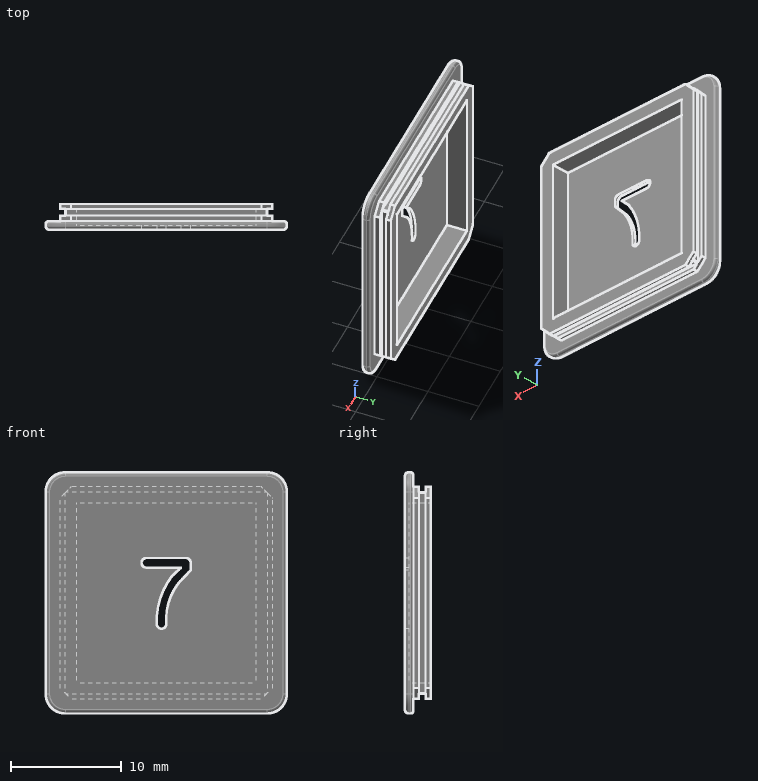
import cadquery as cq

plate_side = 21.85
plate_thickness = 0.79
plate_corner_radius = 1.8
front_edge_radius = 0.37
rear_edge_radius = 0.26

total_depth = 2.35
frame_side = 19.2
frame_corner_chamfer = 1.0
groove_depth = 0.45
front_rim_thickness = 0.5
rear_rim_thickness = 0.45
frame_wall = 1.0

web_thickness = 0.4

stroke_width = 0.85
numeral_left = -2.23
numeral_right = 2.2
numeral_top = 3.15
numeral_bottom = -3.23
stem_left = -0.85
right_edge_bottom = 2.05
inner_corner_x = 1.35
inner_arc_start = (0.5, 1.49)
inner_arc_middle = (-0.45, -0.28)
outer_arc_start = (1.1, 0.87)
outer_arc_middle = (0.17, -0.96)

stroke_radius = stroke_width / 2
core_side = frame_side - 2 * groove_depth
opening_side = core_side - 2 * frame_wall
front_rim_end = plate_thickness + front_rim_thickness
rear_rim_start = total_depth - rear_rim_thickness


def sketch_plane(y):
    """Plane facing -Y at depth y, with local axes along X and Z."""
    return cq.Workplane("XZ", origin=(0, y, 0))


def square_slab(side, y_start, y_end):
    """Centred square slab between two depths."""
    return sketch_plane(y_start).rect(side, side).extrude(y_start - y_end)


def face_plate():
    """Rounded square plate with softened front and rear edges."""
    plate = square_slab(plate_side, 0, plate_thickness)
    plate = plate.edges("|Y").fillet(plate_corner_radius)
    plate = plate.faces("<Y").edges().fillet(front_edge_radius)
    return plate.faces(">Y").edges().fillet(rear_edge_radius)


def grooved_frame():
    """Square block with chamfered corners and a groove around its sides."""
    block = square_slab(frame_side, plate_thickness, total_depth)
    block = block.edges("|Y").chamfer(frame_corner_chamfer)
    groove = square_slab(frame_side, front_rim_end, rear_rim_start)
    groove = groove.cut(square_slab(core_side, front_rim_end, rear_rim_start))
    return block.cut(groove)


def numeral_cutter():
    """Numeral 7 drawn as a round-ended stroke, cut through the web."""
    bar_bottom = numeral_top - stroke_width
    bar_middle = numeral_top - stroke_radius
    bar_start = numeral_left + stroke_radius
    stem_right = stem_left + stroke_width
    stem_middle = stem_left + stroke_radius
    stem_end = numeral_bottom + stroke_radius
    corner_x = numeral_right - stroke_radius
    corner_reach = stroke_radius * 0.5**0.5
    return (
        sketch_plane(0)
        .moveTo(bar_start, numeral_top)
        .lineTo(corner_x, numeral_top)
        .threePointArc(
            (corner_x + corner_reach, bar_middle + corner_reach),
            (numeral_right, bar_middle),
        )
        .lineTo(numeral_right, right_edge_bottom)
        .lineTo(*outer_arc_start)
        .threePointArc(outer_arc_middle, (stem_right, stem_end))
        .threePointArc((stem_middle, numeral_bottom), (stem_left, stem_end))
        .threePointArc(inner_arc_middle, inner_arc_start)
        .lineTo(inner_corner_x, bar_bottom)
        .lineTo(bar_start, bar_bottom)
        .threePointArc((numeral_left, bar_middle), (bar_start, numeral_top))
        .close()
        .extrude(-total_depth)
    )


result = (
    face_plate()
    .union(grooved_frame())
    .cut(square_slab(opening_side, web_thickness, total_depth))
    .cut(numeral_cutter())
)